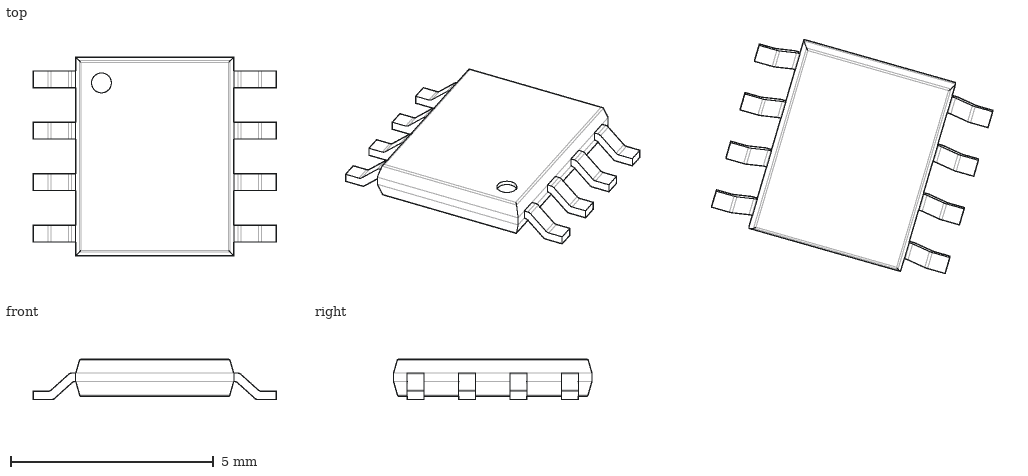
import cadquery as cq
import math

body_length_x = 3.9
body_length_y = 4.9
body_top = 1.0
standoff = 0.08
draft_angle = 16.0
edge_radius = 0.05

lead_span = 6.0
lead_width = 0.42
lead_thickness = 0.213
lead_top = 0.66
lead_pitch = 1.27
leads_per_side = 4
foot_length = 0.414
shoulder_length = 0.142
bend_radius = 0.11

mark_diameter = 0.49
mark_depth = 0.1
mark_inset = 0.5

band_top = lead_top
band_bottom = lead_top - lead_thickness


def tapered_half(base_z, height, rim_selector):
    """Half of the body, narrowing away from the band, with a rounded rim."""
    half = (
        cq.Workplane("XY")
        .workplane(offset=base_z)
        .rect(body_length_x, body_length_y)
        .extrude(height, taper=draft_angle)
    )
    return half.faces(rim_selector).edges().fillet(edge_radius)


def make_body():
    band = (
        cq.Workplane("XY")
        .workplane(offset=band_bottom)
        .rect(body_length_x, body_length_y)
        .extrude(band_top - band_bottom)
    )
    upper = tapered_half(band_top, body_top - band_top, ">Z")
    lower = tapered_half(band_bottom, standoff - band_bottom, "<Z")
    return band.union(upper).union(lower)


def cut_pin_mark(body):
    top_box = body.faces(">Z").val().BoundingBox()
    return body.cut(
        cq.Workplane("XY")
        .workplane(offset=body_top - mark_depth)
        .center(top_box.xmin + mark_inset, top_box.ymax - mark_inset)
        .circle(mark_diameter / 2)
        .extrude(mark_depth)
    )


def make_lead():
    """One lead on the -X side, centred on Y = 0."""
    tip_x = -lead_span / 2
    wall_x = -body_length_x / 2
    lower_bend_x = tip_x + foot_length
    upper_bend_x = wall_x - shoulder_length
    slope = math.atan2(lead_top - lead_thickness, upper_bend_x - lower_bend_x)
    underside_shift = lead_thickness * math.tan(slope / 2)

    lead = (
        cq.Workplane("XZ")
        .moveTo(tip_x, 0)
        .lineTo(lower_bend_x + underside_shift, 0)
        .lineTo(upper_bend_x + underside_shift, band_bottom)
        .lineTo(wall_x, band_bottom)
        .lineTo(wall_x, lead_top)
        .lineTo(upper_bend_x, lead_top)
        .lineTo(lower_bend_x, lead_thickness)
        .lineTo(tip_x, lead_thickness)
        .close()
        .extrude(lead_width / 2, both=True)
    )
    return lead.edges("|Y and (not <X) and (not >X)").fillet(bend_radius)


body = cut_pin_mark(make_body())

left_lead = make_lead()
right_lead = left_lead.mirror("YZ")
leads = []
for index in range(leads_per_side):
    lead_y = (index - (leads_per_side - 1) / 2) * lead_pitch
    leads.append(left_lead.translate((0, lead_y, 0)))
    leads.append(right_lead.translate((0, lead_y, 0)))

result = cq.Compound.makeCompound([body.val(), *[lead.val() for lead in leads]])